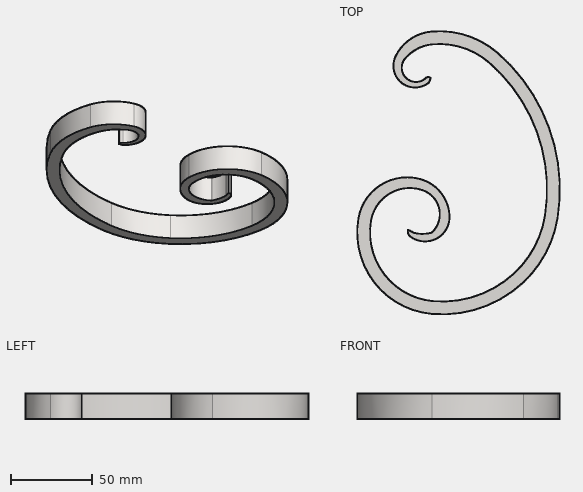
import cadquery as cq
import math

BAR_DEPTH = 16.0
BAR_WIDTH = 8.0

START = (57.0, -26.8)
HEADING_UP = 81
HEADING_DOWN = HEADING_UP + 180

UPPER_BAR = [(107.5, 58), (50.9, 46)]
LOWER_BAR = [(65.5, 38), (69.3, 48), (46.5, 95)]

UPPER_SCROLL_OUTER = [(27.5, 59), (13.5, 156)]
UPPER_SCROLL_INNER = [(25.4, 44), (8.7, 175), (2.1, -94)]
LOWER_SCROLL_OUTER = [(30.6, 94), (24.8, 73), (15.2, 130), (3.8, 72)]
LOWER_SCROLL_INNER = [(24.1, 100), (15.5, 116), (0.7, 29), (21.5, 29)]

LEFT_TURN = 1
RIGHT_TURN = -1


def step(point, angle, distance):
    """The point at a distance from another, in a direction given in degrees."""
    direction = math.radians(angle)
    return cq.Vector(
        point.x + distance * math.cos(direction),
        point.y + distance * math.sin(direction),
    )


def widened(arcs, offset):
    """The same arcs moved outwards by an offset, around the same centres."""
    return [(radius + offset, turn) for radius, turn in arcs]


def arc_chain(point, heading, arcs, side):
    """Edges of tangent arcs that turn to one side, and the point where they end."""
    edges = []
    for radius, turn in arcs:
        signed_turn = side * turn
        to_center = heading + math.copysign(90, signed_turn)
        center = step(point, to_center, radius)
        from_center = to_center + 180
        middle = step(center, from_center + signed_turn / 2, radius)
        end = step(center, from_center + signed_turn, radius)
        edges.append(cq.Edge.makeThreePointArc(point, middle, end))
        point = end
        heading += signed_turn
    return edges, point


def bar_half(heading, side, bar, outer_scroll, inner_scroll):
    """Both sides of the bar from the start to one scroll, with a straight cut at the tip."""
    middle = cq.Vector(*START)
    half_width = BAR_WIDTH / 2
    toward_inside = heading + side * 90
    outer_start = step(middle, toward_inside, -half_width)
    inner_start = step(middle, toward_inside, half_width)
    outer_arcs = widened(bar, half_width) + outer_scroll
    inner_arcs = widened(bar, -half_width) + inner_scroll
    outer_edges, outer_tip = arc_chain(outer_start, heading, outer_arcs, side)
    inner_edges, inner_tip = arc_chain(inner_start, heading, inner_arcs, side)
    tip_edge = cq.Edge.makeLine(outer_tip, inner_tip)
    return outer_edges + [tip_edge] + inner_edges[::-1]


upper_half = bar_half(HEADING_UP, LEFT_TURN, UPPER_BAR, UPPER_SCROLL_OUTER, UPPER_SCROLL_INNER)
lower_half = bar_half(HEADING_DOWN, RIGHT_TURN, LOWER_BAR, LOWER_SCROLL_OUTER, LOWER_SCROLL_INNER)

outline = cq.Wire.assembleEdges(upper_half + lower_half[::-1])
result = cq.Workplane("XY").add(outline).toPending().extrude(BAR_DEPTH)